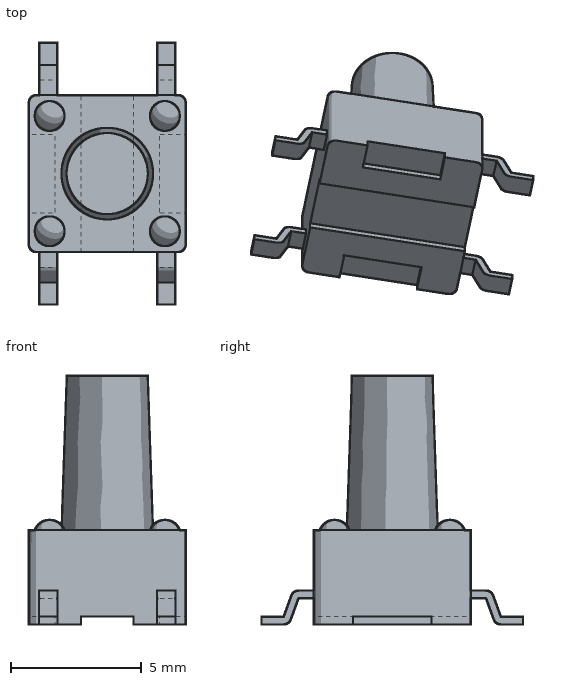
import cadquery as cq
import math

OVERALL_LENGTH = 10.0
OVERALL_HEIGHT = 9.5

BODY_SIDE = 6.0
BODY_HEIGHT = 3.6
CORNER_RADIUS = 0.3

STANDOFF = 0.3
CHANNEL_WIDTH = 2.0
RECESS_WIDTH = 3.0
RECESS_DEPTH = 1.0

BUTTON_BASE_DIAMETER = 3.5
BUTTON_TOP_DIAMETER = 3.1

DOME_PITCH = 4.4
DOME_BASE_RADIUS = 0.57
DOME_HEIGHT = 0.4

LEAD_PITCH = 4.5
LEAD_WIDTH = 0.7
LEAD_THICKNESS = 0.3
LEAD_TOP = 1.3
LEAD_FOOT_LENGTH = 0.85
LEAD_BEND_ANGLE = 70.0
LEAD_EMBED = 0.5


def make_housing():
    """Rounded block with an open channel and two side recesses underneath."""
    block = (
        cq.Workplane("XY")
        .box(BODY_SIDE, BODY_SIDE, BODY_HEIGHT, centered=(True, True, False))
        .edges("|Z")
        .fillet(CORNER_RADIUS)
    )
    channel = cq.Workplane("XY").box(CHANNEL_WIDTH, BODY_SIDE, STANDOFF, centered=(True, True, False))
    block = block.cut(channel)
    for side in (-1, 1):
        recess = (
            cq.Workplane("XY")
            .box(RECESS_DEPTH, RECESS_WIDTH, STANDOFF, centered=(True, True, False))
            .translate((side * (BODY_SIDE - RECESS_DEPTH) / 2, 0, 0))
        )
        block = block.cut(recess)
    return block


def make_button():
    """Solid cone frustum standing on the housing."""
    return (
        cq.Workplane("XZ")
        .moveTo(0, BODY_HEIGHT)
        .lineTo(BUTTON_BASE_DIAMETER / 2, BODY_HEIGHT)
        .lineTo(BUTTON_TOP_DIAMETER / 2, OVERALL_HEIGHT)
        .lineTo(0, OVERALL_HEIGHT)
        .close()
        .revolve(360, (0, 0, 0), (0, 1, 0))
    )


def make_domes():
    """Four spherical caps near the corners of the upper face."""
    sphere_radius = (DOME_BASE_RADIUS**2 + DOME_HEIGHT**2) / (2 * DOME_HEIGHT)
    half_arc_angle = math.asin(DOME_BASE_RADIUS / sphere_radius) / 2
    arc_mid = (
        sphere_radius * math.sin(half_arc_angle),
        DOME_HEIGHT - sphere_radius * (1 - math.cos(half_arc_angle)),
    )
    dome = (
        cq.Workplane("XZ")
        .lineTo(DOME_BASE_RADIUS, 0)
        .threePointArc(arc_mid, (0, DOME_HEIGHT))
        .close()
        .revolve(360, (0, 0, 0), (0, 1, 0))
        .val()
    )
    return (
        cq.Workplane("XY", origin=(0, 0, BODY_HEIGHT))
        .rect(DOME_PITCH, DOME_PITCH, forConstruction=True)
        .vertices()
        .eachpoint(lambda place: dome.moved(place))
    )


def make_lead():
    """Lead on the +Y side, centred on X = 0, bent sharp inside and round outside."""
    bend = math.radians(LEAD_BEND_ANGLE)
    tip = OVERALL_LENGTH / 2
    root = BODY_SIDE / 2 - LEAD_EMBED
    upper_z = LEAD_TOP - LEAD_THICKNESS

    lower_y = tip - LEAD_FOOT_LENGTH
    drop = upper_z - LEAD_THICKNESS
    upper_y = lower_y - (LEAD_THICKNESS + drop * math.cos(bend)) / math.sin(bend)

    def upper_bend(angle):
        return (
            upper_y + LEAD_THICKNESS * math.sin(angle),
            upper_z + LEAD_THICKNESS * math.cos(angle),
        )

    def lower_bend(angle):
        return (
            lower_y - LEAD_THICKNESS * math.sin(angle),
            LEAD_THICKNESS - LEAD_THICKNESS * math.cos(angle),
        )

    return (
        cq.Workplane("YZ")
        .moveTo(root, LEAD_TOP)
        .lineTo(*upper_bend(0))
        .threePointArc(upper_bend(bend / 2), upper_bend(bend))
        .lineTo(lower_y, LEAD_THICKNESS)
        .lineTo(tip, LEAD_THICKNESS)
        .lineTo(tip, 0)
        .lineTo(*lower_bend(0))
        .threePointArc(lower_bend(bend / 2), lower_bend(bend))
        .lineTo(upper_y, upper_z)
        .lineTo(root, upper_z)
        .close()
        .extrude(LEAD_WIDTH / 2, both=True)
    )


result = make_housing().union(make_button()).union(make_domes())
lead = make_lead()
for x_side in (-1, 1):
    for facing in (0, 180):
        placed_lead = lead.rotate((0, 0, 0), (0, 0, 1), facing).translate((x_side * LEAD_PITCH / 2, 0, 0))
        result = result.union(placed_lead)